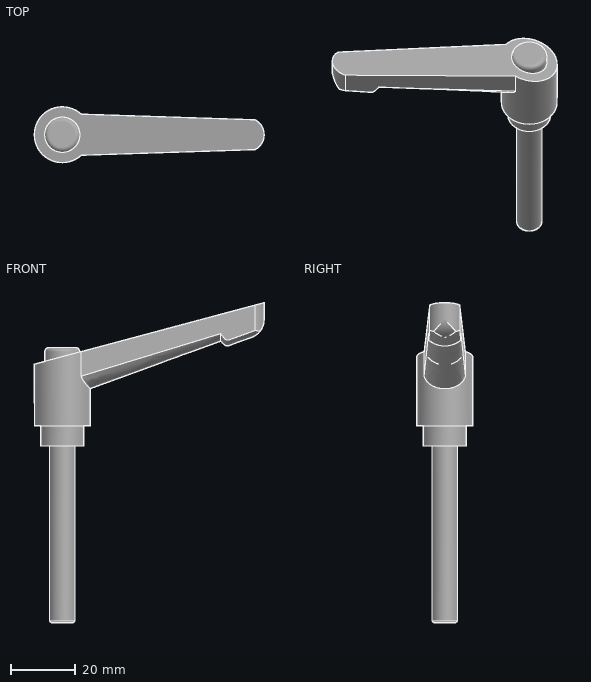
import cadquery as cq
import math

TOTAL_HEIGHT = 100.0
TOTAL_LENGTH = 71.8

HUB_RADIUS = 8.75
HUB_BOTTOM = 61.5
COLLAR_DIAMETER = 13.5
COLLAR_BOTTOM = 55.2
STUD_DIAMETER = 8.0
STUD_CHAMFER = 0.6
BUTTON_DIAMETER = 11.0
BUTTON_TOP = 86.0
BUTTON_FILLET = 1.4

TIP_X = TOTAL_LENGTH - HUB_RADIUS
TOP_SLOPE = math.tan(math.radians(15))
UNDERSIDE_SLOPE = math.tan(math.radians(20))
UNDERSIDE_AT_AXIS = 69.9
SIDE_EDGE_SLOPE = 0.305
SIDE_EDGE_AT_AXIS = 75.2
HALF_WIDTH_AT_AXIS = 6.65
TIP_ARC_X = 60.1
TIP_HALF_WIDTH = 4.7
TIP_CORNER_RADIUS = 6.0

GRIP_START_X = 49.4
GRIP_FULL_X = 51.2
GRIP_BOTTOM = 86.2
GRIP_CORNER_RADIUS = 1.5
GRIP_ROUND_DEPTH = 1.8


def top_height(x):
    return TOTAL_HEIGHT - (TIP_X - x) * TOP_SLOPE


def half_width(x):
    return HALF_WIDTH_AT_AXIS - x * (HALF_WIDTH_AT_AXIS - TIP_HALF_WIDTH) / TIP_ARC_X


def grip_height(x):
    return GRIP_BOTTOM + (x - GRIP_FULL_X) * UNDERSIDE_SLOPE


def cylinder(diameter, bottom, top):
    return cq.Workplane("XY").workplane(offset=bottom).circle(diameter / 2).extrude(top - bottom)


def lever_section(x, side_edge, bottom):
    """Cross-section with upright sides and a rounded underside."""
    width = half_width(x)
    return (
        cq.Workplane("YZ", origin=(x, 0, 0))
        .moveTo(-width, top_height(x))
        .lineTo(-width, side_edge)
        .threePointArc((0, bottom), (width, side_edge))
        .lineTo(width, top_height(x))
        .close()
        .val()
    )


def bar_section(x):
    side_edge = SIDE_EDGE_AT_AXIS + x * SIDE_EDGE_SLOPE
    return lever_section(x, side_edge, UNDERSIDE_AT_AXIS + x * UNDERSIDE_SLOPE)


def grip_section(x):
    return lever_section(x, grip_height(x) + GRIP_ROUND_DEPTH, grip_height(x))


def rounded_tip_plan():
    """Tapered plan outline of the lever, closed by an arc at the tip."""
    return (
        cq.Workplane("XY")
        .moveTo(0, -HALF_WIDTH_AT_AXIS)
        .lineTo(TIP_ARC_X, -TIP_HALF_WIDTH)
        .threePointArc((TIP_X, 0), (TIP_ARC_X, TIP_HALF_WIDTH))
        .lineTo(0, HALF_WIDTH_AT_AXIS)
        .close()
        .extrude(TOTAL_HEIGHT)
    )


def rounded_corner_profile():
    """Side profile that rounds the lower corner of the tip."""
    return (
        cq.Workplane("XZ")
        .moveTo(0, 0)
        .lineTo(GRIP_FULL_X, 0)
        .lineTo(GRIP_FULL_X, GRIP_BOTTOM)
        .lineTo(TIP_X, grip_height(TIP_X))
        .lineTo(TIP_X, TOTAL_HEIGHT)
        .lineTo(0, TOTAL_HEIGHT)
        .close()
        .extrude(HUB_RADIUS, both=True)
        .edges(cq.selectors.NearestToPointSelector((TIP_X, 0, grip_height(TIP_X))))
        .fillet(TIP_CORNER_RADIUS)
    )


def lever():
    sections = [
        bar_section(0),
        bar_section(GRIP_START_X),
        grip_section(GRIP_FULL_X),
        grip_section(TIP_X),
    ]
    blank = cq.Workplane(cq.Solid.makeLoft(sections, True))
    grip_corner = cq.selectors.NearestToPointSelector((GRIP_FULL_X, 0, GRIP_BOTTOM))
    blank = blank.edges(grip_corner).fillet(GRIP_CORNER_RADIUS)
    return blank.intersect(rounded_tip_plan()).intersect(rounded_corner_profile())


def hub():
    """Cylinder cut off along the sloping top face of the lever."""
    sloped_side = (
        cq.Workplane("XZ")
        .moveTo(-HUB_RADIUS, HUB_BOTTOM)
        .lineTo(HUB_RADIUS, HUB_BOTTOM)
        .lineTo(HUB_RADIUS, top_height(HUB_RADIUS))
        .lineTo(-HUB_RADIUS, top_height(-HUB_RADIUS))
        .close()
        .extrude(HUB_RADIUS, both=True)
    )
    return cylinder(2 * HUB_RADIUS, HUB_BOTTOM, TOTAL_HEIGHT).intersect(sloped_side)


stud = cylinder(STUD_DIAMETER, 0, COLLAR_BOTTOM).faces("<Z").chamfer(STUD_CHAMFER)
collar = cylinder(COLLAR_DIAMETER, COLLAR_BOTTOM, HUB_BOTTOM)
button = cylinder(BUTTON_DIAMETER, HUB_BOTTOM, BUTTON_TOP).faces(">Z").edges().fillet(BUTTON_FILLET)

result = hub().union(lever()).union(collar).union(stud).union(button)